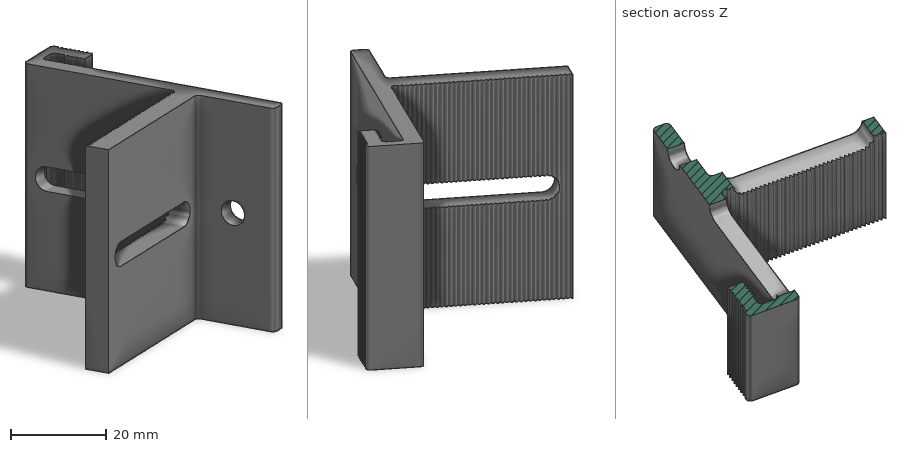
import cadquery as cq
import math

height = 50.0
corner_radius = 1.0

plate_width = 60.0
plate_thickness = 4.0

hook_depth = 12.4
hook_wall = 2.2
lip_length = 10.0
lip_thickness = 4.4

stem_length = 39.0
stem_right = 41.4
stem_thickness = 5.0

tooth_pitch = lip_length / 10
flank_angle = math.radians(30)
lip_outer_teeth = 8
lip_inner_teeth = 5
stem_teeth = 37

opening_width = 5.5
plate_slot_left = 2.75
plate_slot_right = 33.8
plate_hole_x = 50.05
stem_slot_front = -36.2
stem_slot_back = -3.0

round_half_width = tooth_pitch / 8
round_radius = round_half_width / math.cos(flank_angle)
round_height = round_radius * (1 - math.sin(flank_angle))
flank_width = tooth_pitch / 4
flank_height = flank_width / math.tan(flank_angle)
tooth_depth = flank_height + 2 * round_height

stem_left = stem_right - stem_thickness
lip_outer_root = hook_depth - tooth_depth
lip_inner_crest = hook_depth - lip_thickness
lip_inner_root = lip_inner_crest + tooth_depth
mid_height = height / 2




def draw_full_teeth(path, place, count):
    """Row of whole teeth, starting from the root surface and stopping on the last crest arc."""
    foot = round_half_width + flank_width + round_height * math.tan(flank_angle)
    path = path.lineTo(*place(-foot, 0))
    path = path.lineTo(*place(-round_half_width, tooth_depth - round_height))
    for index in range(count):
        crest = index * tooth_pitch
        if index > 0:
            path = draw_root(path, place, crest)
        path = path.threePointArc(
            place(crest, tooth_depth),
            place(crest + round_half_width, tooth_depth - round_height),
        )
    return path


def draw_root(path, place, next_crest):
    """Flank down, root arc and flank up to the start of the next crest arc."""
    root = next_crest - tooth_pitch / 2
    path = path.lineTo(*place(root - round_half_width, round_height))
    path = path.threePointArc(place(root, 0), place(root + round_half_width, round_height))
    return path.lineTo(*place(next_crest - round_half_width, tooth_depth - round_height))


def draw_half_tooth(path, place, crest):
    """Root and rising half of one more tooth, ending on top of its crest."""
    path = draw_root(path, place, crest)
    half_sweep = (math.pi / 2 - flank_angle) / 2
    arc_middle = place(
        crest - round_radius * math.sin(half_sweep),
        tooth_depth - round_radius * (1 - math.cos(half_sweep)),
    )
    return path.threePointArc(arc_middle, place(crest, tooth_depth))


def draw_lip_inner_teeth(path):
    """Teeth on the plate side of the lip, drawn toward the lip tip."""
    first_crest = lip_length - (lip_inner_teeth - 0.5) * tooth_pitch

    def place(along, rise):
        return (first_crest + along, lip_inner_root - rise)

    path = draw_full_teeth(path, place, lip_inner_teeth)
    last_root = (lip_inner_teeth - 0.5) * tooth_pitch
    return path.lineTo(*place(last_root, 0))


def draw_lip_outer_teeth(path):
    """Teeth on the rear of the lip, drawn from the tip to the plain part near the wall."""
    first_crest = lip_length - tooth_pitch / 2

    def place(along, rise):
        return (first_crest - along, lip_outer_root + rise)

    path = path.lineTo(lip_length, lip_outer_root)
    path = draw_full_teeth(path, place, lip_outer_teeth)
    return draw_half_tooth(path, place, lip_outer_teeth * tooth_pitch)


def draw_stem_teeth(path):
    """Teeth on the left of the stem, ending with half a tooth at the front."""
    first_crest = stem_teeth * tooth_pitch - stem_length

    def place(along, rise):
        return (stem_left - rise, first_crest - along)

    path = draw_full_teeth(path, place, stem_teeth)
    return draw_half_tooth(path, place, stem_teeth * tooth_pitch)


def profile_body():
    """Extruded T profile with hook and teeth; its plain corners are rounded."""
    plate_front_left = (0, 0)
    stem_left_corner = (stem_left, 0)
    corners_to_lip = (
        (stem_right, 0),
        (plate_width, 0),
        (plate_width, plate_thickness),
        (hook_wall, plate_thickness),
        (hook_wall, lip_inner_root),
    )
    hook_rear_left = (0, hook_depth)

    path = cq.Workplane("XY").moveTo(*plate_front_left).lineTo(*stem_left_corner)
    path = draw_stem_teeth(path)
    path = path.lineTo(stem_right, -stem_length)
    for corner in corners_to_lip:
        path = path.lineTo(*corner)
    path = draw_lip_inner_teeth(path)
    path = draw_lip_outer_teeth(path)
    body = path.lineTo(*hook_rear_left).close().extrude(height)

    rounded_corners = (
        plate_front_left,
        stem_left_corner,
        *corners_to_lip,
        hook_rear_left,
    )
    for x, y in rounded_corners:
        edge = cq.selectors.NearestToPointSelector((x, y, mid_height))
        body = body.edges(edge).fillet(corner_radius)
    return body


def plate_openings():
    """Slot and round hole through the plate; the hook lip stays uncut."""
    slot_middle = (plate_slot_left + plate_slot_right) / 2
    slot_length = plate_slot_right - plate_slot_left
    sketch_plane = cq.Workplane("XZ")
    slot = (
        sketch_plane.center(slot_middle, mid_height)
        .slot2D(slot_length, opening_width)
        .extrude(-plate_thickness)
    )
    hole = (
        sketch_plane.center(plate_hole_x, mid_height)
        .circle(opening_width / 2)
        .extrude(-plate_thickness)
    )
    return slot.union(hole)


def stem_slot():
    """Slot through the stem along Y."""
    slot_middle = (stem_slot_front + stem_slot_back) / 2
    slot_length = stem_slot_back - stem_slot_front
    return (
        cq.Workplane("YZ", origin=(stem_left - tooth_depth, 0, 0))
        .center(slot_middle, mid_height)
        .slot2D(slot_length, opening_width)
        .extrude(stem_thickness + tooth_depth)
    )


result = profile_body().cut(plate_openings()).cut(stem_slot())